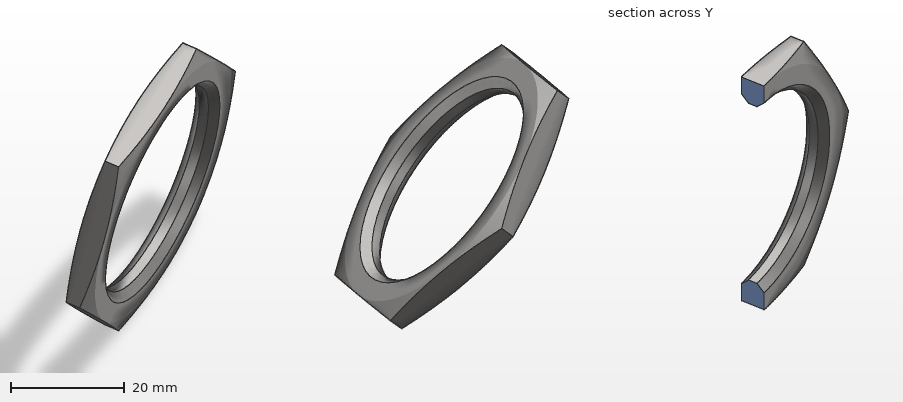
import cadquery as cq
import math

thickness = 4.8
across_flats = 50.0
bore_diameter = 39.4
countersink_diameter = 42.37
countersink_angle = 45.0
hex_sides = 6
corner_chamfer_angle = 15.0

across_corners = across_flats / math.cos(math.pi / hex_sides)
corner_radius = across_corners / 2
flat_radius = across_flats / 2
bore_radius = bore_diameter / 2
countersink_radius = countersink_diameter / 2
countersink_depth = (countersink_radius - bore_radius) / math.tan(math.radians(countersink_angle))
corner_chamfer_depth = (corner_radius - flat_radius) * math.tan(math.radians(corner_chamfer_angle))


def hexagonal_blank():
    """Hexagonal prism from X = 0, with corners on the Y axis and flats facing +Z and -Z."""
    return cq.Workplane("YZ").polygon(hex_sides, across_corners).extrude(thickness)


def turned_envelope():
    """Ring about X holding the countersunk bore and the conical chamfers on the hex corners."""
    profile = [
        (0, countersink_radius),
        (0, flat_radius),
        (corner_chamfer_depth, corner_radius),
        (thickness - corner_chamfer_depth, corner_radius),
        (thickness, flat_radius),
        (thickness, countersink_radius),
        (thickness - countersink_depth, bore_radius),
        (countersink_depth, bore_radius),
    ]
    return cq.Workplane("XY").polyline(profile).close().revolve(360, (0, 0, 0), (1, 0, 0))


result = hexagonal_blank().intersect(turned_envelope())